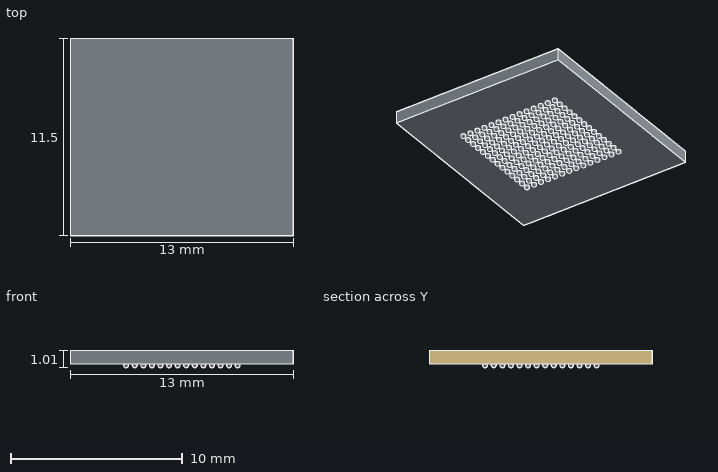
import cadquery as cq

body_length = 13.0
body_width = 11.5
total_height = 1.01
ball_drop = 0.22
body_height = total_height - ball_drop

balls_per_side = 14
grid_span = 6.5
ball_pitch = grid_span / (balls_per_side - 1)
ball_diameter = 0.3
ball_radius = ball_diameter / 2


def make_body():
    """Slab whose underside lies at Z = 0."""
    return cq.Workplane("XY").box(body_length, body_width, body_height, centered=(True, True, False))


def make_balls():
    """Spheres partly sunk into the underside of the body."""
    ball = cq.Workplane("XY").sphere(ball_radius).val()
    ball_centre_height = ball_radius - ball_drop
    return (
        cq.Workplane("XY", origin=(0, 0, ball_centre_height))
        .rarray(ball_pitch, ball_pitch, balls_per_side, balls_per_side)
        .eachpoint(lambda place: ball.moved(place))
    )


result = make_body().union(make_balls())